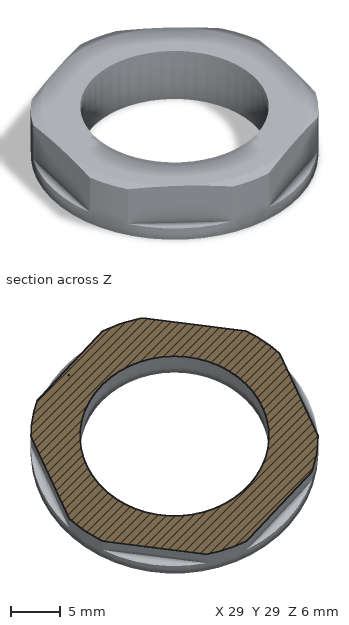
import cadquery as cq
import math

outer_diameter = 29.0
bore_diameter = 19.0
height = 6.0
across_flats = 27.0
flat_count = 6
flange_height = 1.4
chamfer_angle = 15.0

outer_radius = outer_diameter / 2
top_face_radius = across_flats / 2
chamfer_drop = (outer_radius - top_face_radius) * math.tan(math.radians(chamfer_angle))


def make_chamfered_disc():
    """Full round body with the shallow conical chamfer around its top."""
    profile = (
        cq.Workplane("XZ")
        .moveTo(0, 0)
        .lineTo(outer_radius, 0)
        .lineTo(outer_radius, height - chamfer_drop)
        .lineTo(top_face_radius, height)
        .lineTo(0, height)
        .close()
    )
    return profile.revolve(360, (0, 0, 0), (0, 1, 0))


def make_flat_envelope():
    """Space left for the body: hexagon with flats facing +Y and -Y, left open at the flange."""
    corner_diameter = across_flats / math.cos(math.pi / flat_count)
    hexagon = cq.Workplane("XY").polygon(flat_count, corner_diameter).extrude(height)
    flange_zone = cq.Workplane("XY").circle(corner_diameter).extrude(flange_height)
    return hexagon.union(flange_zone)


def make_bore():
    """Plain through hole along Z."""
    return cq.Workplane("XY").circle(bore_diameter / 2).extrude(height)


result = make_chamfered_disc().intersect(make_flat_envelope()).cut(make_bore())